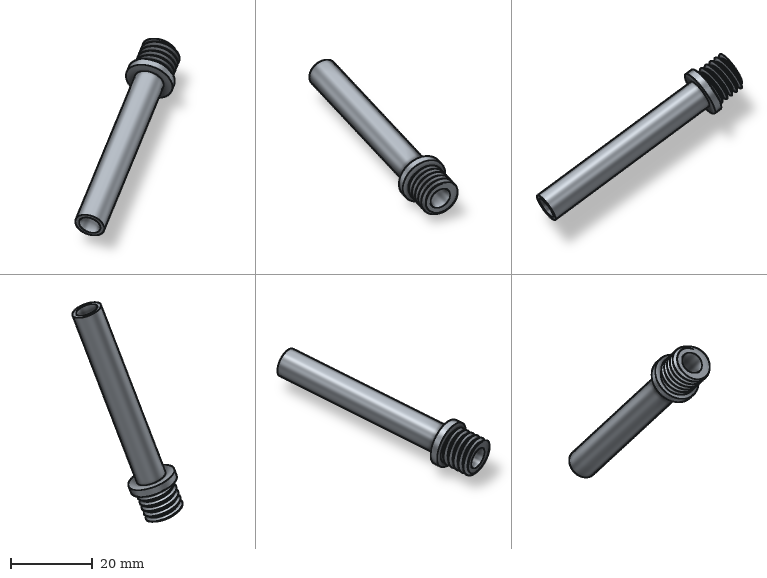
import cadquery as cq
import math

total_length = 58.0
thread_length = 8.0
collar_thickness = 2.0
tube_length = total_length - collar_thickness - thread_length

collar_diameter = 12.0
tube_diameter = 7.5
bore_diameter = 5.5

major_diameter = 9.85
root_diameter = 8.1
pitch = 1.5
crest_width = 0.2
flank_angle = 30.0
first_crest = 0.8
ridge_embed = 0.1
overrun_turns = 2


def cylinder(diameter, length, start):
    """Cylinder along +Z, measured from the threaded end."""
    return cq.Workplane("XY").workplane(offset=start).circle(diameter / 2).extrude(length)


def thread_ridge():
    """Helical ridge overrunning both ends of the threaded length."""
    crest_radius = major_diameter / 2
    base_radius = root_diameter / 2 - ridge_embed
    half_crest = crest_width / 2
    half_base = half_crest + (crest_radius - base_radius) * math.tan(math.radians(flank_angle))

    start = first_crest - overrun_turns * pitch
    turns = math.ceil((thread_length - start) / pitch) + 1
    helix = cq.Wire.makeHelix(pitch, turns * pitch, base_radius, cq.Vector(0, 0, start))
    return (
        cq.Workplane("XZ")
        .polyline([
            (base_radius, start - half_base),
            (crest_radius, start - half_crest),
            (crest_radius, start + half_crest),
            (base_radius, start + half_base),
        ])
        .close()
        .sweep(cq.Workplane(helix), isFrenet=True)
    )


def threaded_stub():
    """Core with its ridge, trimmed at the threaded end and inside the collar."""
    overrun = 2 * overrun_turns * pitch
    core = cylinder(root_diameter, thread_length + 2 * overrun, -overrun)
    trim_length = thread_length + collar_thickness / 2
    return core.union(thread_ridge()).intersect(cylinder(collar_diameter, trim_length, 0))


body = threaded_stub()
body = body.union(cylinder(collar_diameter, collar_thickness, thread_length))
body = body.union(cylinder(tube_diameter, tube_length, thread_length + collar_thickness))
body = body.cut(cylinder(bore_diameter, total_length, 0))

result = body.rotate((0, 0, 0), (1, 0, 0), 90).translate((0, total_length, 0))